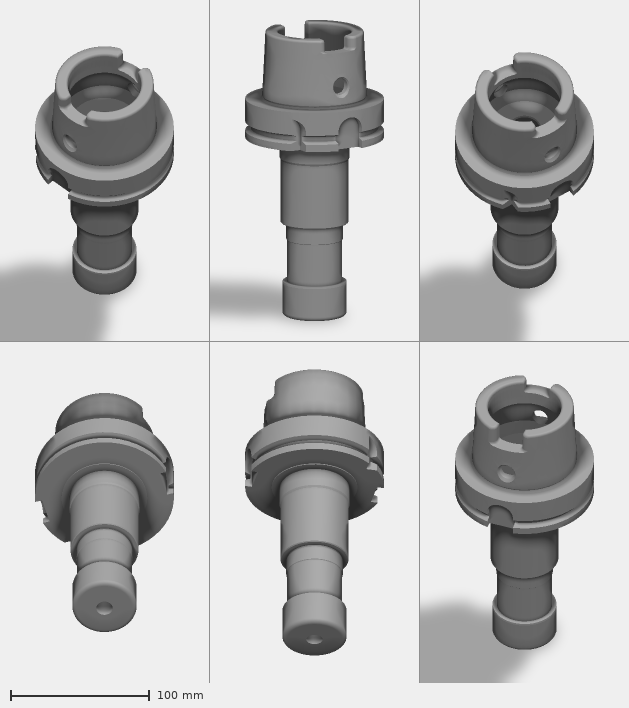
import cadquery as cq

RIM_Z = 210.0
GAUGE_Z = 160.0
FLANGE_BOTTOM_Z = 131.2
COLLAR_BOTTOM_Z = 115.0
BODY_BOTTOM_Z = 68.5
RING_TOP_Z = 67.0
RING_BOTTOM_Z = 55.9
NUT_TOP_Z = 25.5

TAPER_BASE_R = 37.8
TAPER_SLOPE = 1 / 20
RELIEF_TOP_Z = 162.3
RELIEF_BOTTOM_Z = 161.0
RELIEF_R = 37.0
RELIEF_FOOT_R = 39.0
RIM_FILLET = 1.9

BORE_R = 26.5
CAVITY_R = 31.5
CAVITY_FLOOR_R = 25.2
BORE_DEPTH = 19.7
CAVITY_WALL_BOTTOM_DEPTH = 40.0
SOCKET_R = 22.5 / 2
SOCKET_DEPTH = 12.5
SOCKET_CHAMFER = 0.8
THROUGH_R = 12.0 / 2

DRIVE_SLOT_HALF_WIDTH = 9.9
DRIVE_SLOT_CORNER_R = 4.0
DRIVE_SLOTS = ((-1, 9.9), (1, 14.7))
PICK_MARGIN = 0.1

KEY_HOLE_R = THROUGH_R
KEY_HOLE_Z = 175.1
KEY_SINK_START_R = 35.5
KEY_SINK_LENGTH = 4.2

FLANGE_R = 50.0
GROOVE_R = 46.0
GROOVE_TOP_Z = 143.2
GROOVE_BOTTOM_Z = 136.5
GROOVE_FLANK_HEIGHT = 1.7
FLANGE_PAD_R = 30.9
FLANGE_PAD_HEIGHT = 0.6
KEYWAY_HALF_WIDTH = 9.9
KEYWAY_ARC_Z = 145.3
KEYWAY_FLOOR = 43.9
NOTCH_WALL_X = -31.3
NOTCH_FLOOR = 31.0

COLLAR_R = 25.2
COLLAR_CHAMFER_HEIGHT = 1.5
NECK_R = 24.8
NECK_HEIGHT = 1.3
BODY_R = 49.0 / 2
BODY_CHAMFER = 0.6
SPINDLE_R = 20.0
RING_R = 20.4
RING_CHAMFER = 0.5

NUT_R = 46.5 / 2
NUT_TOP_CHAMFER_R = 46.0 / 2
NUT_TOP_CHAMFER_HEIGHT = 1.3
NUT_FILLET = 3.2
NUT_LIP = 6.3

TAPER_TOP_R = TAPER_BASE_R - (RIM_Z - RELIEF_TOP_Z) * TAPER_SLOPE
MID_WALL_R = (BORE_R + TAPER_TOP_R) / 2
OUTSIDE_R = FLANGE_R + 2


def revolved(profile):
    """Solid of revolution about Z of a closed (radius, height) profile."""
    return cq.Workplane("XZ").polyline(profile).close().revolve(360, (0, 0, 0), (0, 1, 0))


def outer_form():
    return revolved([
        (0, RIM_Z),
        (TAPER_TOP_R, RIM_Z),
        (TAPER_BASE_R, RELIEF_TOP_Z),
        (RELIEF_R, RELIEF_TOP_Z),
        (RELIEF_R, RELIEF_BOTTOM_Z),
        (RELIEF_FOOT_R, GAUGE_Z),
        (FLANGE_R, GAUGE_Z),
        (FLANGE_R, GROOVE_TOP_Z),
        (GROOVE_R, GROOVE_TOP_Z - GROOVE_FLANK_HEIGHT),
        (GROOVE_R, GROOVE_BOTTOM_Z + GROOVE_FLANK_HEIGHT),
        (FLANGE_R, GROOVE_BOTTOM_Z),
        (FLANGE_R, FLANGE_BOTTOM_Z),
        (FLANGE_PAD_R, FLANGE_BOTTOM_Z),
        (FLANGE_PAD_R, FLANGE_BOTTOM_Z - FLANGE_PAD_HEIGHT),
        (NECK_R, FLANGE_BOTTOM_Z - FLANGE_PAD_HEIGHT),
        (NECK_R, FLANGE_BOTTOM_Z - NECK_HEIGHT),
        (COLLAR_R, FLANGE_BOTTOM_Z - NECK_HEIGHT),
        (COLLAR_R, COLLAR_BOTTOM_Z + COLLAR_CHAMFER_HEIGHT),
        (BODY_R, COLLAR_BOTTOM_Z),
        (BODY_R, BODY_BOTTOM_Z + BODY_CHAMFER),
        (BODY_R - BODY_CHAMFER, BODY_BOTTOM_Z),
        (SPINDLE_R, BODY_BOTTOM_Z),
        (SPINDLE_R, RING_TOP_Z),
        (RING_R, RING_TOP_Z),
        (RING_R, RING_BOTTOM_Z + RING_CHAMFER),
        (SPINDLE_R, RING_BOTTOM_Z),
        (SPINDLE_R, NUT_LIP),
        (0, NUT_LIP),
    ])


def cavity():
    """Bore, undercut clamping chamber, stepped socket and central through hole."""
    wall_bottom_z = RIM_Z - CAVITY_WALL_BOTTOM_DEPTH
    floor_z = wall_bottom_z - (CAVITY_R - CAVITY_FLOOR_R)
    socket_z = floor_z - SOCKET_DEPTH
    return revolved([
        (0, RIM_Z),
        (BORE_R, RIM_Z),
        (BORE_R, RIM_Z - BORE_DEPTH),
        (CAVITY_R, RIM_Z - BORE_DEPTH),
        (CAVITY_R, wall_bottom_z),
        (CAVITY_FLOOR_R, floor_z),
        (SOCKET_R + SOCKET_CHAMFER, floor_z),
        (SOCKET_R, floor_z - SOCKET_CHAMFER),
        (SOCKET_R, socket_z),
        (THROUGH_R, socket_z),
        (THROUGH_R, NUT_LIP),
        (0, NUT_LIP),
    ])


def drive_slot(depth, side):
    """Straight slot through the rim wall; side is -1 or 1 along Y."""
    slot = cq.Workplane("XY").box(
        2 * DRIVE_SLOT_HALF_WIDTH, OUTSIDE_R, depth, centered=(True, False, False)
    )
    slot = slot.translate((0, 0, RIM_Z - depth))
    return slot if side > 0 else slot.mirror("XZ")


def slot_band(depth_from, depth_to, inner_y, side):
    """Picks edges in a drive slot outside inner_y, between two depths below the rim."""
    reach_x = DRIVE_SLOT_HALF_WIDTH + PICK_MARGIN
    near_y, far_y = sorted((side * inner_y, side * OUTSIDE_R))
    return cq.selectors.BoxSelector(
        (-reach_x, near_y, RIM_Z - depth_to),
        (reach_x, far_y, RIM_Z - depth_from),
    )


def key_hole(side):
    """Radial hole with a 45 degree countersink at its outer end."""
    profile = [
        (0, 0),
        (KEY_HOLE_R, 0),
        (KEY_HOLE_R, KEY_SINK_START_R),
        (KEY_HOLE_R + KEY_SINK_LENGTH, KEY_SINK_START_R + KEY_SINK_LENGTH),
        (0, KEY_SINK_START_R + KEY_SINK_LENGTH),
    ]
    return revolved(profile).rotate((0, 0, 0), (1, 0, 0), -90 * side).translate((0, 0, KEY_HOLE_Z))


def keyway(center_x, floor_distance, side):
    """Round-topped slot cut into the flange from below, open outward along Y."""
    bottom_z = FLANGE_BOTTOM_Z - FLANGE_PAD_HEIGHT
    slot = (
        cq.Workplane("XZ", origin=(center_x, -floor_distance, 0))
        .moveTo(-KEYWAY_HALF_WIDTH, bottom_z)
        .lineTo(-KEYWAY_HALF_WIDTH, KEYWAY_ARC_Z)
        .threePointArc((0, KEYWAY_ARC_Z + KEYWAY_HALF_WIDTH), (KEYWAY_HALF_WIDTH, KEYWAY_ARC_Z))
        .lineTo(KEYWAY_HALF_WIDTH, bottom_z)
        .close()
        .extrude(OUTSIDE_R - floor_distance)
    )
    return slot if side < 0 else slot.mirror("XZ")


def make_holder():
    holder = outer_form().cut(cavity())
    for side, depth in DRIVE_SLOTS:
        holder = holder.cut(drive_slot(depth, side))
        mouth = slot_band(PICK_MARGIN, depth - PICK_MARGIN, MID_WALL_R, side)
        holder = holder.edges(mouth).fillet(DRIVE_SLOT_CORNER_R)
    for side, depth in DRIVE_SLOTS:
        floor = slot_band(depth - PICK_MARGIN, depth + PICK_MARGIN, CAVITY_FLOOR_R, side)
        holder = holder.edges(floor).edges("%LINE").fillet(RIM_FILLET)
    holder = holder.faces(">Z").edges().fillet(RIM_FILLET)
    for side in (-1, 1):
        holder = holder.cut(key_hole(side))
        holder = holder.cut(keyway(0, KEYWAY_FLOOR, side))
    notch_x = NOTCH_WALL_X - KEYWAY_HALF_WIDTH
    return holder.cut(keyway(notch_x, NOTCH_FLOOR, -1))


def make_nut():
    nut = revolved([
        (THROUGH_R, 0),
        (NUT_R, 0),
        (NUT_R, NUT_TOP_Z - NUT_TOP_CHAMFER_HEIGHT),
        (NUT_TOP_CHAMFER_R, NUT_TOP_Z),
        (SPINDLE_R, NUT_TOP_Z),
        (SPINDLE_R, NUT_LIP),
        (THROUGH_R, NUT_LIP),
    ])
    bottom_rim = cq.selectors.RadiusNthSelector(-1)
    return nut.faces("<Z").edges(bottom_rim).fillet(NUT_FILLET)


holder = make_holder()
nut = make_nut()
result = cq.Compound.makeCompound([holder.val(), nut.val()])